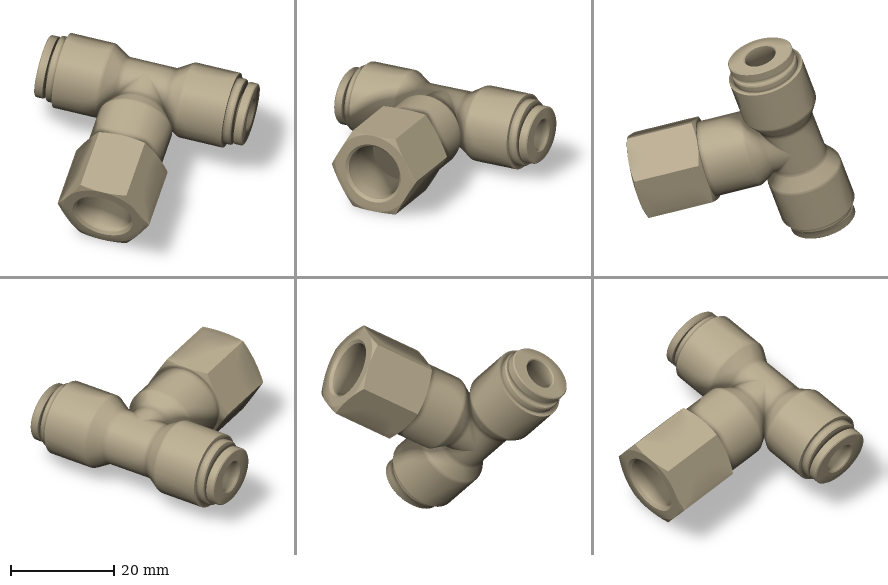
import cadquery as cq
import math

half_length = 20.95
branch_length = 31.0

socket_diameter = 14.9
neck_diameter = 11.1
run_socket_end = 17.1
branch_socket_end = 16.95
taper_outer = 8.05
taper_angle = 31.0
taper_blend = 1.1

collar_diameter = 13.15
collar_end = 18.65
collar_chamfer_length = 0.3
collar_chamfer_depth = 0.15

flange_width = 13.0
flange_height = 11.05
flange_thickness = 1.68
button_chamfer = 0.2
stem_diameter = 7.5

tube_diameter = 6.2
tube_stop = 8.4

hex_flats = 16.0
hex_chamfer_depth = 0.5
female_bore_diameter = 11.05
female_bore_mouth_diameter = 12.1
female_bore_depth = 10.9
passage_diameter = 4.0

taper_length = (socket_diameter - neck_diameter) / 2 / math.tan(math.radians(taper_angle))
taper_inner = taper_outer - taper_length
flange_inner = half_length - flange_thickness
hex_corners = hex_flats / math.cos(math.radians(30))
hex_length = branch_length - branch_socket_end
female_bore_mouth_chamfer = (female_bore_mouth_diameter - female_bore_diameter) / 2

run_sides = (1, -1)


def turned_about_y(profile):
    """Solid of revolution about Y from (radius, y) points."""
    return cq.Workplane("XY").polyline(profile).close().revolve(360, (0, 0), (0, 1))


def pointed_along_run(shape, side):
    """Turn a shape built along +Y to point along +X (side = 1) or -X (side = -1)."""
    return shape.rotate((0, 0, 0), (0, 0, 1), -90 * side)


def section_at(y):
    """Workplane across the Y axis at the given position, facing -Y."""
    return cq.Workplane("XZ", origin=(0, y, 0))


def rod(diameter, start, end):
    """Round rod on the Y axis, from start to end."""
    return section_at(end).circle(diameter / 2).extrude(end - start)


def make_arm(end):
    """One arm along +Y, with both rims of its taper blended."""
    arm = turned_about_y([
        (0, 0),
        (neck_diameter / 2, 0),
        (neck_diameter / 2, taper_inner),
        (socket_diameter / 2, taper_outer),
        (socket_diameter / 2, end),
        (0, end),
    ])
    return arm.faces("%CONE").edges("%CIRCLE").fillet(taper_blend)


def make_tee():
    tee = make_arm(branch_socket_end).rotate((0, 0, 0), (0, 0, 1), 180)
    for side in run_sides:
        tee = tee.union(pointed_along_run(make_arm(run_socket_end), side))
    tube_bore = rod(tube_diameter, tube_stop, run_socket_end)
    for side in run_sides:
        tee = tee.cut(pointed_along_run(tube_bore, side))
    return tee


def make_collar(side):
    """Ring with a chamfered outer rim."""
    collar = turned_about_y([
        (tube_diameter / 2, run_socket_end),
        (collar_diameter / 2, run_socket_end),
        (collar_diameter / 2, collar_end - collar_chamfer_length),
        (collar_diameter / 2 - collar_chamfer_depth, collar_end),
        (tube_diameter / 2, collar_end),
    ])
    return pointed_along_run(collar, side)


def make_button(side):
    """Stem and elliptical flange, with the outer rim and the bore mouth chamfered."""
    flange = section_at(half_length).ellipse(flange_width / 2, flange_height / 2).extrude(flange_thickness)
    button = rod(stem_diameter, collar_end, flange_inner).union(flange)
    button = button.cut(rod(tube_diameter, collar_end, half_length))
    button = button.faces(">Y").edges().chamfer(button_chamfer)
    return pointed_along_run(button, side)


def make_hex_end():
    """Hexagon with turned chamfers, a wide bore and a narrower passage up to the tee body."""
    hexagon = section_at(-branch_socket_end).polygon(6, hex_corners).extrude(hex_length)
    chamfer_envelope = turned_about_y([
        (0, -branch_socket_end),
        (hex_flats / 2, -branch_socket_end),
        (hex_corners / 2, -branch_socket_end - hex_chamfer_depth),
        (hex_corners / 2, -branch_length + hex_chamfer_depth),
        (hex_flats / 2, -branch_length),
        (0, -branch_length),
    ])
    bore = turned_about_y([
        (0, -branch_length),
        (female_bore_mouth_diameter / 2, -branch_length),
        (female_bore_diameter / 2, -branch_length + female_bore_mouth_chamfer),
        (female_bore_diameter / 2, -branch_length + female_bore_depth),
        (passage_diameter / 2, -branch_length + female_bore_depth),
        (passage_diameter / 2, -branch_socket_end),
        (0, -branch_socket_end),
    ])
    return hexagon.intersect(chamfer_envelope).cut(bore)


tee = make_tee()
hex_end = make_hex_end()
collars = [make_collar(side).val() for side in run_sides]
buttons = [make_button(side).val() for side in run_sides]

result = cq.Compound.makeCompound([tee.val(), hex_end.val(), *collars, *buttons])